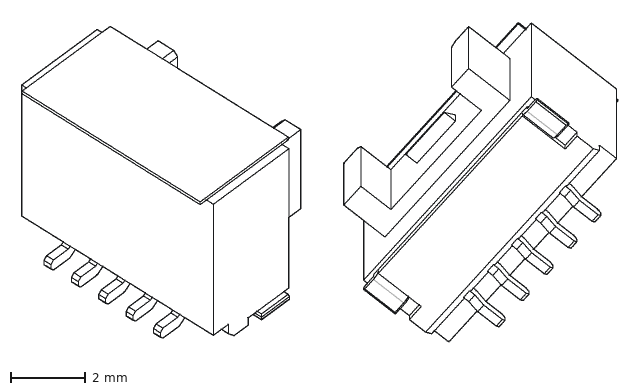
import cadquery as cq
import math

OVERALL_WIDTH = 7.24
OVERALL_HEIGHT = 5.5

TAPE_WIDTH = 6.5
TAPE_DEPTH = 3.5
TAPE_THICKNESS = 0.1

HOUSING_WIDTH = 7.0
HOUSING_DEPTH = 3.0
HOUSING_BOTTOM = 0.32
FRONT_STEP_BOTTOM = 0.615
HOUSING_TOP = OVERALL_HEIGHT - TAPE_THICKNESS

FOOT_BOTTOM = 0.05
FOOT_FRONT = -0.9
FOOT_BEVEL = 0.22
NOTCH_FRONT = -0.11

FRAME_WIDTH = 5.21
FRAME_OPENING = 3.78
FRAME_END = 2.95
FRAME_TOP = 4.57
FRAME_BOTTOM = 1.68
FRAME_BEVEL = 0.145
FRAME_WALL_FACE = TAPE_DEPTH / 2 + FRAME_BEVEL

LATCH_WIDTH = 1.61
LATCH_REACH = 0.39
LATCH_ANGLE = 47.5

PIN_COUNT = 5
PIN_PITCH = 1.0
PIN_WIDTH = 0.25
PIN_TIP = -2.11
PIN_TIP_BEVEL = 0.1
PIN_TOE_TOP = 0.37
PIN_ROOT_BOTTOM = 0.225
PIN_TOP_BEND_START = -1.09
PIN_TOP_BEND_END = -1.42
PIN_LOWER_BEND_START = -1.04
PIN_LOWER_BEND_END = -1.355

TAB_FRONT = 0.28
TAB_BACK = 1.4
TAB_THICKNESS = 0.2
TAB_LENGTH = 0.615
TAB_BEVEL = 0.05
TAB_TIP = -OVERALL_WIDTH / 2
STEM_INNER_FACE = TAB_TIP + TAB_LENGTH


def box(x_min, x_max, y_min, y_max, z_min, z_max):
    """Axis-aligned block between the given limits."""
    size = (x_max - x_min, y_max - y_min, z_max - z_min)
    return cq.Workplane("XY").box(*size, centered=False).translate((x_min, y_min, z_min))


def side_profile(points, width):
    """Extrude a (Y, Z) outline along X, centred on X = 0."""
    return cq.Workplane("YZ").polyline(points).close().extrude(width / 2, both=True)


def housing_block():
    """Main block and foot, as one stepped outline with the tab notches cut at both ends."""
    front = -HOUSING_DEPTH / 2
    back = HOUSING_DEPTH / 2
    block = side_profile(
        [
            (front, HOUSING_TOP),
            (front, FRONT_STEP_BOTTOM),
            (FOOT_FRONT, FRONT_STEP_BOTTOM),
            (FOOT_FRONT, FOOT_BOTTOM + FOOT_BEVEL),
            (FOOT_FRONT + FOOT_BEVEL, FOOT_BOTTOM),
            (TAB_BACK, FOOT_BOTTOM),
            (TAB_BACK, HOUSING_BOTTOM),
            (back, HOUSING_BOTTOM),
            (back, HOUSING_TOP),
        ],
        HOUSING_WIDTH,
    )
    notch = box(-HOUSING_WIDTH / 2, STEM_INNER_FACE, NOTCH_FRONT, TAB_BACK, FOOT_BOTTOM, HOUSING_BOTTOM)
    return block.cut(notch).cut(notch.mirror("YZ"))


def frame():
    """U-shaped frame with a bevel along the inner rim at the top."""
    half_width = FRAME_WIDTH / 2
    half_opening = FRAME_OPENING / 2
    outer = box(-half_width, half_width, HOUSING_DEPTH / 2, FRAME_END, FRAME_BOTTOM, FRAME_TOP)
    opening = box(-half_opening, half_opening, FRAME_WALL_FACE, FRAME_END, FRAME_BOTTOM, FRAME_TOP)
    inner_rim = cq.selectors.BoxSelector(
        (-half_opening - FRAME_BEVEL, FRAME_WALL_FACE - FRAME_BEVEL, FRAME_TOP - FRAME_BEVEL),
        (half_opening + FRAME_BEVEL, FRAME_END - FRAME_BEVEL, FRAME_TOP + FRAME_BEVEL),
    )
    return outer.cut(opening).edges(inner_rim).chamfer(FRAME_BEVEL)


def latch():
    """Wedge at mid-height of the frame wall, with its ramp facing up and outward."""
    height = LATCH_REACH * math.tan(math.radians(LATCH_ANGLE))
    bottom = (FRAME_TOP + FRAME_BOTTOM - height) / 2
    ramp = [
        (FRAME_WALL_FACE, bottom),
        (FRAME_WALL_FACE + LATCH_REACH, bottom),
        (FRAME_WALL_FACE, bottom + height),
    ]
    return side_profile(ramp, LATCH_WIDTH)


def pin():
    """Contact pin centred on X = 0, rooted inside the foot."""
    root = FOOT_FRONT + FOOT_BEVEL
    return side_profile(
        [
            (root, FRONT_STEP_BOTTOM),
            (PIN_TOP_BEND_START, FRONT_STEP_BOTTOM),
            (PIN_TOP_BEND_END, PIN_TOE_TOP),
            (PIN_TIP + PIN_TIP_BEVEL, PIN_TOE_TOP),
            (PIN_TIP, PIN_TOE_TOP - PIN_TIP_BEVEL),
            (PIN_TIP, PIN_TIP_BEVEL),
            (PIN_TIP + PIN_TIP_BEVEL, 0),
            (PIN_LOWER_BEND_END, 0),
            (PIN_LOWER_BEND_START, PIN_ROOT_BOTTOM),
            (root, PIN_ROOT_BOTTOM),
        ],
        PIN_WIDTH,
    )


def solder_tab():
    """Bent tab at the -X end: a flat toe whose stem rises into the housing.

    The bevel runs along the tip and around the -Y end, but not down the upright tip corner.
    """
    stem_top = HOUSING_BOTTOM + TAB_THICKNESS
    stem_outer_face = STEM_INNER_FACE - TAB_THICKNESS
    tab = (
        cq.Workplane("XZ", origin=(0, TAB_BACK, 0))
        .moveTo(TAB_TIP, 0)
        .lineTo(stem_outer_face, 0)
        .radiusArc((STEM_INNER_FACE, TAB_THICKNESS), -TAB_THICKNESS)
        .lineTo(STEM_INNER_FACE, stem_top)
        .lineTo(stem_outer_face, stem_top)
        .lineTo(stem_outer_face, TAB_THICKNESS)
        .lineTo(TAB_TIP, TAB_THICKNESS)
        .close()
        .extrude(TAB_BACK - TAB_FRONT)
    )
    tip_edges = tab.faces("<X").edges("|Y")
    end_edges = tab.faces("<Y").edges("not(<X)")
    return tip_edges.add(end_edges).chamfer(TAB_BEVEL)


def connector():
    """Housing with its frame, latch, pins and tabs, as one solid."""
    body = housing_block().union(frame()).union(latch())
    for index in range(PIN_COUNT):
        x = (index - (PIN_COUNT - 1) / 2) * PIN_PITCH
        body = body.union(pin().translate((x, 0, 0)))
    tab = solder_tab()
    return body.union(tab).union(tab.mirror("YZ"))


def pickup_tape():
    """Thin sheet lying on top of the housing."""
    half_width = TAPE_WIDTH / 2
    half_depth = TAPE_DEPTH / 2
    return box(-half_width, half_width, -half_depth, half_depth, HOUSING_TOP, OVERALL_HEIGHT)


result = cq.Compound.makeCompound([connector().val(), pickup_tape().val()])